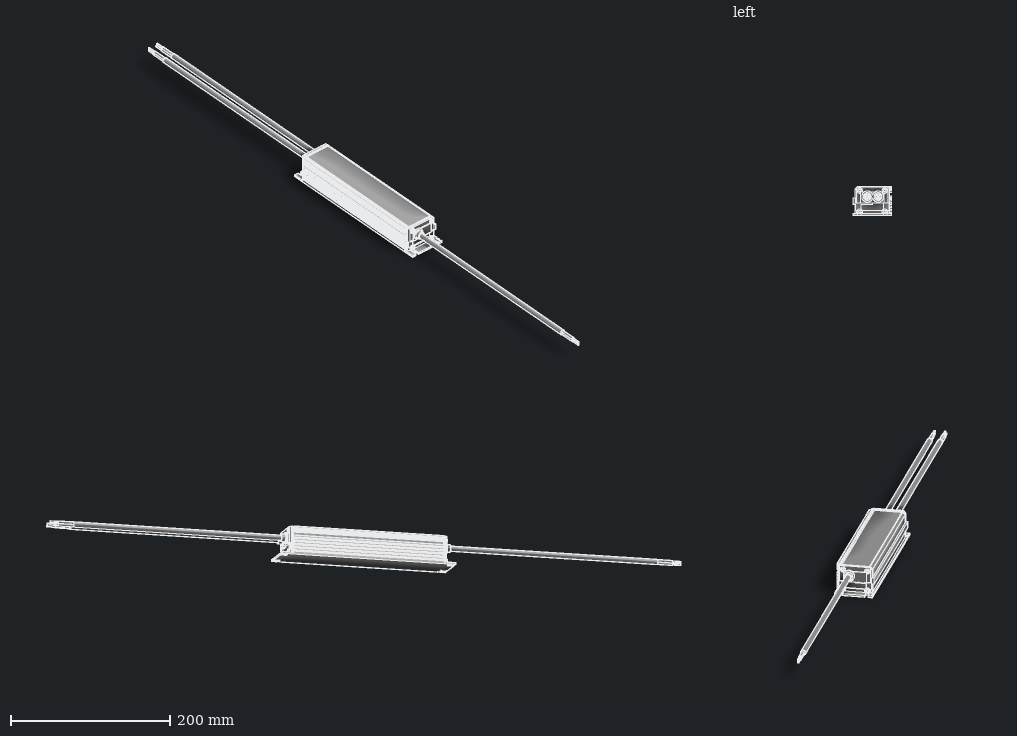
import cadquery as cq
import math

total_length = 823.0
total_width = 48.5
total_height = 36.0

flange_length = 226.0
flange_thickness = 2.5
extrusion_length = 196.0
wall_width = 44.0
lid_width = 35.0
lid_recess = 0.4
rim_groove_y = -20.5
rim_groove_width = 1.2
rim_groove_depth = 1.0
shoulder = 3.0
rib_height = 8.0
bottom_z = -total_height / 2
top_z = total_height / 2
flange_top_z = bottom_z + flange_thickness
wall_y = wall_width / 2
edge_y = total_width / 2

wide_groove_z = 8.65
wide_groove_height = 4.0
fin_pitch = 4.0
fin_gap = 2.0
fin_groove_count = 5
fin_first_z = 3.0
upper_groove_zs = (12.0, 15.2)

gasket_length = 2.0
gasket_inset = 1.0
cap_length = 3.0
cap_bevel = 2.05
cap_back_x = extrusion_length / 2 + gasket_length
cap_face_x = cap_back_x + cap_length
recess_depth = 1.2
window_width = 28.0
window_depth = 2.0
recess_bottom_z = -11.5
recess_top_z = -2.5
panel_width = 30.0
panel_top_z = 11.5
panel_thickness = 1.2
screw_diameter = 6.5
screw_socket_diameter = 2.9
screw_socket_depth = 1.0
screw_y = 16.0
screw_z = 13.0
screw_head = 1.0

slot_width = 4.0
slot_length = 8.0
slot_y = 16.5
notch_width = 3.0
notch_depth = 2.0
notch_pitch = 5.0
notch_end_offset = 3.0

cable_z = 6.0
rear_cable_y = 6.2
front_cable_y = -7.0
gland_collar_diameter = 14.0
gland_collar_length = 2.5
gland_tail_diameter = 10.0
gland_tail_length = 7.0
cable_diameter = 6.8
sheath_end_x = 381.0
wire_diameter = 3.2
wire_circle = 3.4
wire_end_x = 401.0
strand_diameter = 2.1
first_wire_angle = 90
input_wire_count = 3
output_wire_count = 2
overlap = 2.5

ends = (-1, 1)


def box(length, width, height, center):
    return cq.Workplane("XY").box(length, width, height).translate(center)


def rod(diameter, side, inner_x, outer_x, y, z):
    """Cylinder along X, between two distances from the middle of the part."""
    start = cq.Workplane("YZ", origin=(side * inner_x, y, z))
    return start.circle(diameter / 2).extrude(side * (outer_x - inner_x))


def profile(start_x, length, side_y, inset=0):
    """Housing cross-section extruded along X; side_y is its -Y face, inset shrinks it."""
    right_y = wall_y - inset
    upper_z = top_z - inset
    outline = [
        (-side_y + inset, flange_top_z),
        (-side_y + inset, upper_z),
        (right_y - shoulder, upper_z),
        (right_y, upper_z - shoulder),
        (right_y, flange_top_z),
    ]
    return cq.Workplane("YZ", origin=(start_x, 0, 0)).polyline(outline).close().extrude(length)


def extrusion():
    """Aluminium profile: finned -Y wall, plain +Y wall, lid on top."""
    body = profile(-extrusion_length / 2, extrusion_length, edge_y)
    grooves = [(wide_groove_z, wide_groove_height)]
    grooves += [(z, fin_gap) for z in upper_groove_zs]
    grooves += [(fin_first_z - i * fin_pitch, fin_gap) for i in range(fin_groove_count)]
    groove_depth = edge_y - wall_y
    for z, height in grooves:
        center_y = -edge_y + groove_depth / 2
        body = body.cut(box(extrusion_length, groove_depth, height, (0, center_y, z)))
    rim_z = top_z - rim_groove_depth / 2
    rim_center = (0, rim_groove_y, rim_z)
    body = body.cut(box(extrusion_length, rim_groove_width, rim_groove_depth, rim_center))
    lid_center = (0, 0, top_z - lid_recess / 2)
    return body.cut(box(extrusion_length, lid_width, lid_recess, lid_center))


def flange():
    """Base plate with open mounting slots and small edge notches at both ends."""
    center_z = bottom_z + flange_thickness / 2
    plate = box(flange_length, total_width, flange_thickness, (0, 0, center_z))
    for side in ends:
        end_x = side * flange_length / 2
        for y in (-slot_y, slot_y):
            slot = box(2 * slot_length, slot_width, flange_thickness, (end_x, y, center_z))
            plate = plate.cut(slot)
        for i in range(2):
            x = end_x - side * (notch_end_offset + i * notch_pitch)
            notch = box(notch_width, 2 * notch_depth, flange_thickness, (x, edge_y, center_z))
            plate = plate.cut(notch)
    return plate


def rib():
    """Rib along the +Y wall, continuing over the end caps."""
    length = 2 * (cap_face_x - recess_depth)
    return box(length, edge_y, rib_height, (0, edge_y / 2, 0))


def end_cap(side):
    """Gasket and cap with a gland panel above, a stepped channel below and four screws."""
    gasket_start = min(side * extrusion_length / 2, side * cap_back_x)
    cap_start = min(side * cap_back_x, side * cap_face_x)
    gasket = profile(gasket_start, gasket_length, wall_y, gasket_inset)
    outer_face = ">X" if side > 0 else "<X"
    cap = profile(cap_start, cap_length, wall_y)
    cap = cap.faces(outer_face).edges("|Z").chamfer(cap_bevel)
    cap = cap.union(gasket)

    recess_height = recess_top_z - recess_bottom_z
    recess_z = recess_bottom_z + recess_height / 2
    for width, depth in ((wall_width, recess_depth), (window_width, window_depth)):
        center = (side * (cap_face_x - depth / 2), 0, recess_z)
        cap = cap.cut(box(depth, width, recess_height, center))

    panel_height = panel_top_z - recess_top_z
    panel_center = (side * (cap_face_x + panel_thickness / 2), 0, recess_top_z + panel_height / 2)
    cap = cap.union(box(panel_thickness, panel_width, panel_height, panel_center))

    head_x = cap_face_x + screw_head
    socket_x = head_x - screw_socket_depth
    for y in (-screw_y, screw_y):
        for z in (-screw_z, screw_z):
            cap = cap.union(rod(screw_diameter, side, cap_face_x - overlap, head_x, y, z))
            cap = cap.cut(rod(screw_socket_diameter, side, socket_x, head_x, y, z))
    return cap


def cable(side, y, wire_count):
    """Gland, sheathed cable, insulated wires and their bare tips."""
    collar_x = cap_face_x + gland_collar_length
    tail_x = cap_face_x + gland_tail_length
    root_x = cap_face_x - overlap
    lead = rod(gland_collar_diameter, side, root_x, collar_x, y, cable_z)
    lead = lead.union(rod(gland_tail_diameter, side, root_x, tail_x, y, cable_z))
    lead = lead.union(rod(cable_diameter, side, root_x, sheath_end_x, y, cable_z))
    for i in range(wire_count):
        angle = math.radians(first_wire_angle + i * 360 / wire_count)
        wire_y = y + wire_circle / 2 * math.cos(angle)
        wire_z = cable_z + wire_circle / 2 * math.sin(angle)
        wire = rod(wire_diameter, side, sheath_end_x - overlap, wire_end_x, wire_y, wire_z)
        strand = rod(
            strand_diameter, side, wire_end_x - overlap, total_length / 2, wire_y, wire_z
        )
        lead = lead.union(wire).union(strand)
    return lead


result = flange().union(extrusion()).union(rib())
for side in ends:
    result = result.union(end_cap(side))
result = result.union(cable(-1, rear_cable_y, input_wire_count))
result = result.union(cable(-1, front_cable_y, output_wire_count))
result = result.union(cable(1, front_cable_y, output_wire_count))